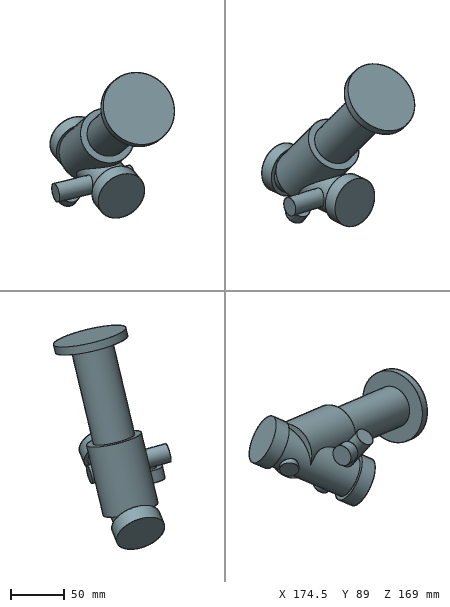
import cadquery as cq
import math


run_dia = 40.0
run_length = 110.0
run_start_x = -29.5
run_end_x = run_start_x + run_length
collar_dia = 47.8
collar_width = 14.5

branch_angle = 45.0
sleeve_dia = 53.0
sleeve_length = 69.0
stem_dia = 40.0
branch_length = 170.0
disc_dia = 70.0
disc_thickness = 8.0

boss_dia = 18.0
boss_reach = 24.0
side_boss_x = 50.0
side_boss_reach = 54.0

plug_angle = 50.0
plug_y = -36.0
plug_dia = 20.0
plug_length = 12.0
plug_end = 22.0
neck_dia = 8.0

X_AXIS = (1, 0, 0)
Y_AXIS = (0, 1, 0)
DOWN = (0, 0, -1)


def sloping(degrees):
    """Unit vector in the XZ plane at an angle above +X."""
    angle = math.radians(degrees)
    return (math.cos(angle), 0, math.sin(angle))


def rod(diameter, origin, direction, start, end):
    """Cylinder along a direction, between two distances from the origin."""
    plane = cq.Plane(origin=origin, normal=direction)
    return cq.Workplane(plane).workplane(offset=start).circle(diameter / 2).extrude(end - start)


def make_run():
    centre = (0, 0, 0)
    run = rod(run_dia, centre, X_AXIS, run_start_x, run_end_x)
    for collar_x in (run_start_x, run_end_x - collar_width):
        run = run.union(rod(collar_dia, centre, X_AXIS, collar_x, collar_x + collar_width))
    return run


def make_branch():
    centre = (0, 0, 0)
    axis = sloping(branch_angle)
    sleeve = rod(sleeve_dia, centre, axis, 0, sleeve_length)
    stem = rod(stem_dia, centre, axis, 0, branch_length)
    disc = rod(disc_dia, centre, axis, branch_length - disc_thickness, branch_length)
    return sleeve.union(stem).union(disc)


def make_bosses():
    bottom_boss = rod(boss_dia, (0, 0, 0), DOWN, 0, boss_reach)
    side_boss = rod(boss_dia, (side_boss_x, 0, 0), Y_AXIS, -side_boss_reach, boss_reach)
    return bottom_boss.union(side_boss)


def make_plug():
    centre = (side_boss_x, plug_y, 0)
    axis = sloping(180 + plug_angle)
    neck = rod(neck_dia, centre, axis, 0, plug_end)
    plug = rod(plug_dia, centre, axis, plug_end - plug_length, plug_end)
    return neck.union(plug)


result = make_run().union(make_branch()).union(make_bosses()).union(make_plug())